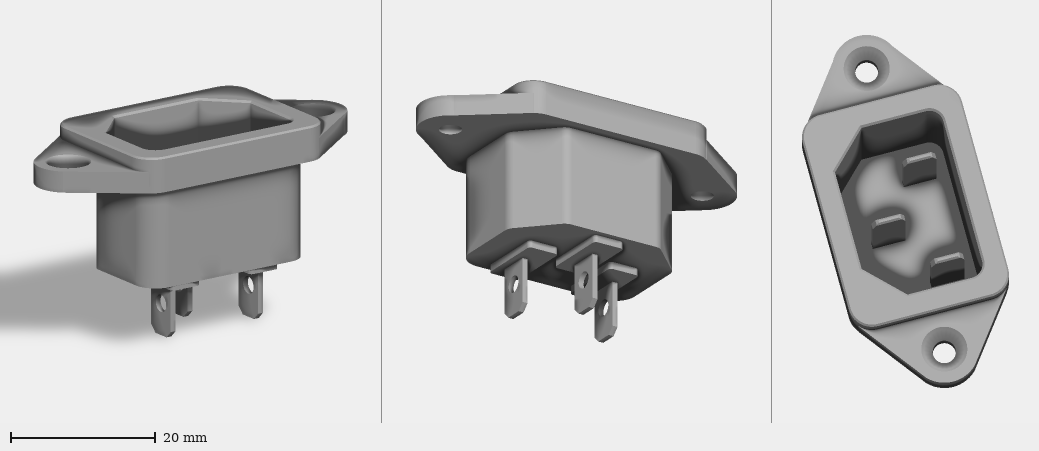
import cadquery as cq
import math

FRAME_HEIGHT = 5.1
EAR_THICKNESS = 3.05
BODY_DEPTH = 14.6
BOSS_HEIGHT = 1.05
PIN_PROTRUSION = 7.7

FRAME_X = 22.75
FRAME_Y = 31.1
FRAME_CORNER_RADIUS = 3.25
FRAME_EDGE_CHAMFER = 0.25
TOTAL_Y = 50.95
SCREW_Y = 20.7
SCREW_HOLE_DIAMETER = 3.2
COUNTERSINK_DIAMETER = 6.35
COUNTERSINK_DEPTH = 1.6
EAR_TIP_RADIUS = TOTAL_Y / 2 - SCREW_Y
EARS = [
    (1, 4.3, 10.9, 14.05),
    (-1, 3.45, 10.6, 14.5),
]

BODY_X = 18.9
BODY_Y = 27.1
BODY_BEVEL = 5.9
BODY_BEVEL_RADIUS = 1.75
BODY_CORNER_RADIUS = 3.25
WALL = 1.25
CAVITY_RIM_CHAMFER = 0.3

BOSS_X = 10.35
BOSS_Y = 4.8
BOSS_CORNER_RADIUS = 0.55
BOSS_OFFSET_X = 3.2
BOSS_PITCH_Y = 6.6
BOSS_CENTERS = [
    (BOSS_OFFSET_X, BOSS_PITCH_Y),
    (-BOSS_OFFSET_X, 0),
    (BOSS_OFFSET_X, -BOSS_PITCH_Y),
]

PIN_WIDTH = 4.7
PIN_THICKNESS = 0.8
OUTER_PIN_X = 3.95
MIDDLE_PIN_X = -2.45
PIN_PITCH_Y = 7.4
PIN_CENTERS = [
    (OUTER_PIN_X, PIN_PITCH_Y),
    (MIDDLE_PIN_X, 0),
    (OUTER_PIN_X, -PIN_PITCH_Y),
]
PIN_TOP = -0.35
PIN_FOOT_CHAMFER = 1.0
PIN_HOLE_DIAMETER = 2.5
PIN_HOLE_HEIGHT = 4.6
PIN_SHOULDER_WIDTH = 0.65
PIN_SHOULDER_HEIGHT = 1.8
PIN_TIP_CHAMFER = 0.3
PIN_TIP_FACE_CHAMFER = 0.25

BODY_BOTTOM = -BODY_DEPTH
BOSS_BOTTOM = BODY_BOTTOM - BOSS_HEIGHT
PIN_BOTTOM = BOSS_BOTTOM - PIN_PROTRUSION
CAVITY_FLOOR = BODY_BOTTOM + WALL
CAVITY_BEVEL = BODY_BEVEL - (2 - math.sqrt(2)) * WALL


def bevelled_prism(size_x, size_y, bevel, corner_radius, bottom, top):
    """Rectangular prism with the -X corners bevelled and the +X corners rounded."""
    x = size_x / 2
    y = size_y / 2
    outline = [
        (x, -y),
        (x, y),
        (bevel - x, y),
        (-x, y - bevel),
        (-x, bevel - y),
        (bevel - x, -y),
    ]
    prism = cq.Workplane("XY").workplane(offset=bottom).polyline(outline).close().extrude(top - bottom)
    return prism.edges("|Z and >X").fillet(corner_radius)


def make_frame():
    frame = cq.Workplane("XY").box(FRAME_X, FRAME_Y, FRAME_HEIGHT, centered=(True, True, False))
    frame = frame.edges("|Z").fillet(FRAME_CORNER_RADIUS)
    return frame.faces(">Z").edges().chamfer(FRAME_EDGE_CHAMFER)


def make_ear(side, tip_half_width, root_half_width, root_y):
    tip_y = SCREW_Y + math.sqrt(EAR_TIP_RADIUS**2 - tip_half_width**2)
    return (
        cq.Workplane("XY")
        .moveTo(-root_half_width, 0)
        .lineTo(-root_half_width, side * root_y)
        .lineTo(-tip_half_width, side * tip_y)
        .threePointArc((0, side * TOTAL_Y / 2), (tip_half_width, side * tip_y))
        .lineTo(root_half_width, side * root_y)
        .lineTo(root_half_width, 0)
        .close()
        .extrude(EAR_THICKNESS)
    )


def make_screw_hole(y):
    """Cutter for a through hole with a conical countersink in the top of the ear."""
    hole_radius = SCREW_HOLE_DIAMETER / 2
    hole = cq.Workplane("XY").circle(hole_radius).extrude(EAR_THICKNESS)
    countersink = cq.Solid.makeCone(
        hole_radius,
        COUNTERSINK_DIAMETER / 2,
        COUNTERSINK_DEPTH,
        pnt=cq.Vector(0, 0, EAR_THICKNESS - COUNTERSINK_DEPTH),
    )
    return hole.union(cq.Workplane(countersink)).translate((0, y, 0))


def make_body():
    body = bevelled_prism(BODY_X, BODY_Y, BODY_BEVEL, BODY_CORNER_RADIUS, BODY_BOTTOM, EAR_THICKNESS)
    bevel_ends = cq.selectors.BoxSelector(
        (-BODY_X, -BODY_Y, BODY_BOTTOM), (0, BODY_Y, EAR_THICKNESS)
    )
    return body.edges("|Z").edges(bevel_ends).fillet(BODY_BEVEL_RADIUS)


def make_cavity():
    size_x = BODY_X - 2 * WALL
    size_y = BODY_Y - 2 * WALL
    corner_radius = BODY_CORNER_RADIUS - WALL
    return bevelled_prism(size_x, size_y, CAVITY_BEVEL, corner_radius, CAVITY_FLOOR, FRAME_HEIGHT)


def make_bosses():
    bosses = cq.Workplane("XY").workplane(offset=BOSS_BOTTOM).pushPoints(BOSS_CENTERS)
    bosses = bosses.rect(BOSS_X, BOSS_Y).extrude(BOSS_HEIGHT)
    return bosses.edges("|Z").fillet(BOSS_CORNER_RADIUS)


def make_pin(x, y):
    half = PIN_WIDTH / 2
    shoulder = half - PIN_SHOULDER_WIDTH
    foot = half - PIN_FOOT_CHAMFER
    outline = [
        (-foot, PIN_BOTTOM),
        (foot, PIN_BOTTOM),
        (half, PIN_BOTTOM + PIN_FOOT_CHAMFER),
        (half, PIN_TOP - PIN_SHOULDER_HEIGHT),
        (shoulder, PIN_TOP),
        (-shoulder, PIN_TOP),
        (-half, PIN_TOP - PIN_SHOULDER_HEIGHT),
        (-half, PIN_BOTTOM + PIN_FOOT_CHAMFER),
    ]
    pin = cq.Workplane("XZ").polyline(outline).close().extrude(PIN_THICKNESS / 2, both=True)
    pin = pin.faces(">Z").edges().chamfer(PIN_TIP_CHAMFER, PIN_TIP_FACE_CHAMFER)
    hole = (
        cq.Workplane("XZ")
        .center(0, PIN_BOTTOM + PIN_HOLE_HEIGHT)
        .circle(PIN_HOLE_DIAMETER / 2)
        .extrude(PIN_THICKNESS, both=True)
    )
    return pin.cut(hole).translate((x, y, 0)).solids()


def make_housing(pins):
    """Flange, ears, hollow body and bosses in one solid, slotted for the pins."""
    housing = make_frame()
    for ear in EARS:
        housing = housing.union(make_ear(*ear))
    for screw_y in (SCREW_Y, -SCREW_Y):
        housing = housing.cut(make_screw_hole(screw_y))
    housing = housing.union(make_body()).cut(make_cavity())
    rim = housing.faces(">Z").val().innerWires()[0]
    housing = housing.newObject(rim.Edges()).chamfer(CAVITY_RIM_CHAMFER)
    housing = housing.union(make_bosses())
    for pin in pins:
        housing = housing.cut(pin)
    return housing.solids()


pins = [make_pin(x, y) for x, y in PIN_CENTERS]
housing = make_housing(pins)

result = cq.Compound.makeCompound([housing.val(), *[pin.val() for pin in pins]])